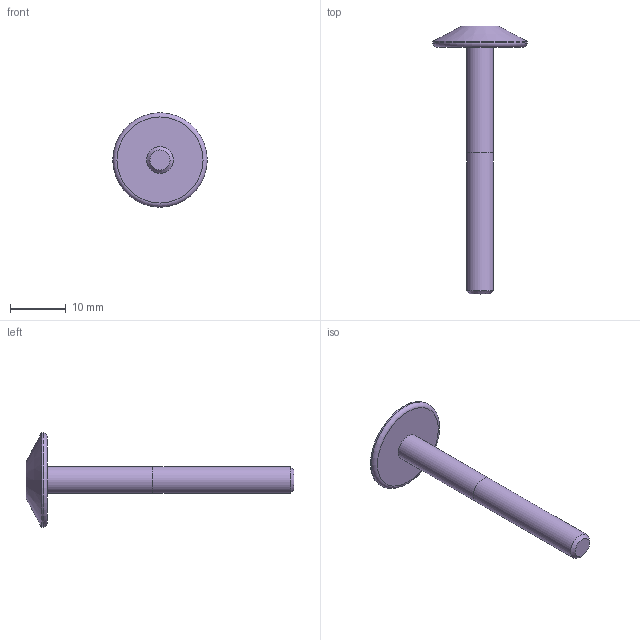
import cadquery as cq
import math

head_diameter = 17.0
head_crown_diameter = 6.65
head_height = 3.81
rim_height = 1.02
rim_fillet_radius = 0.75

shank_diameter = 4.826
plain_length = 19.05
thread_length = 25.4
tip_chamfer = 0.6

head_radius = head_diameter / 2
crown_radius = head_crown_diameter / 2
shank_radius = shank_diameter / 2
tip_y = -(plain_length + thread_length)

fillet_mid_inset = rim_fillet_radius * (1 - math.sqrt(0.5))
fillet_mid = (head_radius - fillet_mid_inset, fillet_mid_inset)


def make_screw():
    """Revolve the half profile, drawn as (radius, Y), about the Y axis."""
    profile = (
        cq.Workplane("XY")
        .moveTo(0, tip_y)
        .lineTo(shank_radius - tip_chamfer, tip_y)
        .lineTo(shank_radius, tip_y + tip_chamfer)
        .lineTo(shank_radius, -plain_length)
        .lineTo(shank_radius, 0)
        .lineTo(head_radius - rim_fillet_radius, 0)
        .threePointArc(fillet_mid, (head_radius, rim_fillet_radius))
        .lineTo(head_radius, rim_height)
        .lineTo(crown_radius, head_height)
        .lineTo(0, head_height)
        .close()
    )
    return profile.revolve(360, (0, 0, 0), (0, 1, 0), clean=False)


result = make_screw()